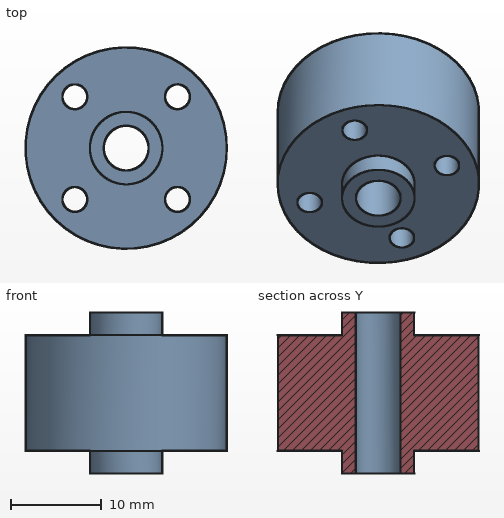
import cadquery as cq

body_diameter = 22.2
total_height = 17.75

hub_diameter = 8.0
hub_height = 2.5
body_height = total_height - 2 * hub_height

bore_diameter = 4.9
bolt_hole_diameter = 2.7
bolt_circle_diameter = 15.98
bolt_hole_count = 4
first_bolt_angle = 45.0


def centred_cylinder(diameter, height):
    """Cylinder along Z, centred on the origin."""
    base = cq.Workplane("XY").workplane(offset=-height / 2)
    return base.circle(diameter / 2).extrude(height)


body = centred_cylinder(body_diameter, body_height)
hubs = centred_cylinder(hub_diameter, total_height)
bore = centred_cylinder(bore_diameter, total_height)

bolt_holes = (
    cq.Workplane("XY")
    .workplane(offset=-body_height / 2)
    .polarArray(bolt_circle_diameter / 2, first_bolt_angle, 360, bolt_hole_count)
    .circle(bolt_hole_diameter / 2)
    .extrude(body_height)
)

result = body.union(hubs).cut(bore).cut(bolt_holes)